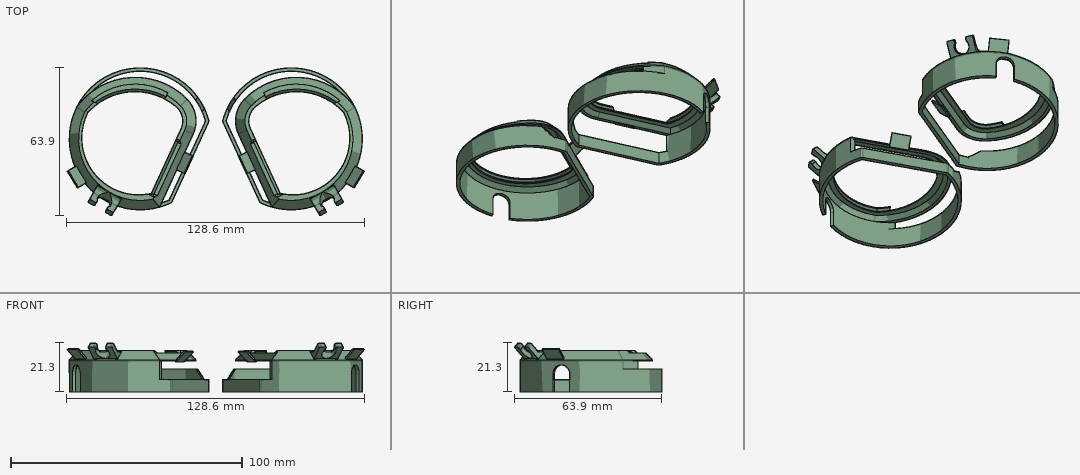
import cadquery as cq
import math

turn_angle = -24.7
body_offset = 32.7

wall_radius = 30.75
wall_thickness = 1.5
flat_distance = 23.9
flat_corner_radius = 1.5
rim_z = 13.5

ring_center_x = 0.0
ring_flat_distance = 20.0
ring_arc_peak_x = 0.0
ring_arc_peak_y = 26.2
ring_corner_radius = 13.5
arc_start_y = 1.0
lip_height = 0.55
bevel_height = 4.1
bevel_z = rim_z + lip_height
ring_top_z = bevel_z + bevel_height

opening_radius = 24.55
opening_center_x = -0.8
opening_flat_distance = 14.2
opening_arc_peak_x = 1.0
opening_arc_peak_y = 20.1
opening_corner_radius = 8.2

groove_depth = 1.2
groove_upper_height = 0.6

recess_depth = 1.15
recess_z = ring_top_z - recess_depth
flat_recess_start_y = -19.2
flat_recess_end_y = 6.5
flat_recess_inner_x = 10.0
back_recess_end_x = 2.5
back_recess_start_y = 6.2

opening_edge_height = 0.4
hollow_top_z = recess_z - groove_depth - opening_edge_height

back_wall_z = 10.1
flat_wall_z = 5.5
ramp_end_x = 19.6

slot_angle = 205.0 - turn_angle
slot_width = 8.0
slot_top_z = 11.8

tab_width = 8.5
tab_thickness = 0.75
tab_root_depth = 0.7
round_tab_angle = 211.0 - turn_angle
round_tab_reach = 34.3
round_tab_tip_z = 18.4
flat_tab_y = -1.4
flat_tab_reach = 24.0
flat_tab_tip_z = 17.4

clip_angle = 240.0 - turn_angle
clip_width = 11.9
clip_gap = 5.2
clip_bore_radius = 3.3
clip_reach = 35.1
clip_tip_z = 21.25
clip_tip_drop = 1.6
clip_straight_run = 3.2
clip_root_depth = 0.5
clip_tip_radius = 0.6

margin = 40.0


def disc_with_flat(radius, distance, corner_radius, height):
    disc = cq.Workplane("XY").circle(radius).extrude(height)
    keep = cq.Workplane("XY").box(2 * margin, 2 * margin, height, centered=(True, True, False))
    shape = disc.intersect(keep.translate((distance - margin, 0, 0)))
    if corner_radius > 0:
        shape = shape.edges("|Z and >X").fillet(corner_radius)
    return shape


def rounded_d(z, radius, center_x, flat_x, peak, corner_radius):
    peak_x, peak_y = peak
    start_x = center_x - math.sqrt(radius**2 - arc_start_y**2)
    half_span = peak_x - start_x
    rise = peak_y - arc_start_y
    arc_radius = (half_span**2 + rise**2) / (2 * rise)
    arc_y = peak_y - arc_radius
    corner_x = flat_x - corner_radius
    corner_dx = corner_x - peak_x
    corner_y = arc_y + math.sqrt((arc_radius - corner_radius) ** 2 - corner_dx**2)
    join_angle = math.atan2(corner_y - arc_y, corner_dx)
    join_x = corner_x + corner_radius * math.cos(join_angle)
    join_y = corner_y + corner_radius * math.sin(join_angle)
    corner_mid_x = corner_x + corner_radius * math.cos(join_angle / 2)
    corner_mid_y = corner_y + corner_radius * math.sin(join_angle / 2)
    flat_end_y = -math.sqrt(radius**2 - (flat_x - center_x) ** 2)
    diagonal = radius / math.sqrt(2)
    return (
        cq.Workplane("XY", origin=(0, 0, z))
        .moveTo(start_x, arc_start_y)
        .threePointArc(peak, (join_x, join_y))
        .threePointArc((corner_mid_x, corner_mid_y), (flat_x, corner_y))
        .lineTo(flat_x, flat_end_y)
        .threePointArc((center_x - diagonal, -diagonal), (start_x, arc_start_y))
        .close()
    )


def ring_outline(z):
    peak = (ring_arc_peak_x, ring_arc_peak_y)
    return rounded_d(z, wall_radius, ring_center_x, ring_flat_distance, peak, ring_corner_radius)


def opening_outline(z):
    peak = (opening_arc_peak_x, opening_arc_peak_y)
    return rounded_d(
        z, opening_radius, opening_center_x, opening_flat_distance, peak, opening_corner_radius
    )


def make_wall():
    outer = disc_with_flat(wall_radius, flat_distance, flat_corner_radius, rim_z)
    inner = disc_with_flat(wall_radius - wall_thickness, flat_distance - wall_thickness, 0, rim_z)
    ramp_start_x = ramp_end_x - (back_wall_z - flat_wall_z)
    lowered = (
        cq.Workplane("XZ", origin=(0, margin, 0))
        .moveTo(-margin, rim_z)
        .lineTo(-margin, back_wall_z)
        .lineTo(ramp_start_x, back_wall_z)
        .lineTo(ramp_end_x, flat_wall_z)
        .lineTo(margin, flat_wall_z)
        .lineTo(margin, rim_z)
        .close()
        .extrude(2 * margin)
    )
    return outer.cut(inner).cut(lowered.cut(ring_outline(0).extrude(rim_z)))


def slot_cutter():
    arch_radius = slot_width / 2
    straight = slot_top_z - arch_radius
    slot = (
        cq.Workplane("YZ")
        .moveTo(-arch_radius, 0)
        .lineTo(-arch_radius, straight)
        .threePointArc((0, slot_top_z), (arch_radius, straight))
        .lineTo(arch_radius, 0)
        .close()
        .extrude(margin)
    )
    return slot.rotate((0, 0, 0), (0, 0, 1), slot_angle)


def recess_cutter():
    flat_recess = (
        cq.Workplane("YZ", origin=(flat_recess_inner_x, 0, 0))
        .moveTo(flat_recess_start_y, recess_z)
        .lineTo(flat_recess_end_y - recess_depth, recess_z)
        .lineTo(flat_recess_end_y, ring_top_z)
        .lineTo(flat_recess_start_y - recess_depth, ring_top_z)
        .close()
        .extrude(margin)
    )
    back_recess = (
        cq.Workplane("XY", origin=(back_recess_end_x - margin, back_recess_start_y, recess_z))
        .box(margin, margin, recess_depth, centered=False)
    )
    return flat_recess.union(back_recess)


def groove_cutter():
    upper_taper = math.degrees(math.atan2(groove_depth, groove_upper_height))
    lower = opening_outline(recess_z).offset2D(groove_depth).extrude(-groove_depth, taper=45)
    upper = opening_outline(recess_z).offset2D(groove_depth).extrude(groove_upper_height, taper=upper_taper)
    return lower.union(upper)


def hollow_cutter():
    height = hollow_top_z - rim_z
    return ring_outline(rim_z).offset2D(-wall_thickness).extrude(height, taper=45)


def make_ring():
    lip = ring_outline(rim_z).extrude(lip_height)
    bevelled = ring_outline(bevel_z).extrude(bevel_height, taper=45)
    opening = opening_outline(rim_z).extrude(lip_height + bevel_height)
    ring = lip.union(bevelled).cut(opening)
    return ring.cut(groove_cutter()).cut(recess_cutter()).cut(hollow_cutter())


def make_tab(base_distance, reach, tip_z):
    step = tab_thickness / math.sqrt(2)
    root = (reach + tip_z - base_distance - bevel_z) / 2 + tab_root_depth
    return (
        cq.Workplane("XZ", origin=(0, tab_width / 2, 0))
        .moveTo(reach, tip_z)
        .lineTo(reach - step, tip_z + step)
        .lineTo(reach - step - root, tip_z + step - root)
        .lineTo(reach - root, tip_z - root)
        .close()
        .extrude(tab_width)
    )


def make_clip():
    bevel_sum = wall_radius + bevel_z
    tip_bottom_z = clip_tip_z - clip_tip_drop
    tip_top_x = clip_reach - clip_tip_drop
    under_x = (bevel_sum + clip_reach - tip_bottom_z) / 2
    bevel_top_x = bevel_sum - ring_top_z
    profile = (
        cq.Workplane("XZ", origin=(0, clip_width / 2, 0))
        .moveTo(under_x - clip_root_depth, bevel_sum - under_x - clip_root_depth)
        .lineTo(clip_reach, tip_bottom_z)
        .lineTo(tip_top_x, clip_tip_z)
        .lineTo(tip_top_x - clip_straight_run, clip_tip_z - clip_straight_run)
        .tangentArcPoint((bevel_top_x, ring_top_z), relative=False)
        .lineTo(bevel_top_x - clip_root_depth, ring_top_z - clip_root_depth)
        .close()
        .extrude(clip_width)
    )
    along_bevel = cq.Plane(origin=(wall_radius, 0, bevel_z), xDir=(0, 1, 0), normal=(1, 0, -1))
    bore = (
        cq.Workplane(along_bevel)
        .center(0, clip_bore_radius)
        .circle(clip_bore_radius)
        .extrude(margin, both=True)
    )
    mouth = (
        cq.Workplane(along_bevel)
        .center(0, clip_bore_radius + margin / 2)
        .rect(clip_gap, margin)
        .extrude(margin, both=True)
    )
    prongs = profile.cut(bore).cut(mouth)
    tip_faces = prongs.faces(cq.DirectionMinMaxSelector(cq.Vector(1, 0, 1)))
    tip_edges = tip_faces.edges("not |Y")
    return tip_edges.fillet(clip_tip_radius)


def make_body():
    round_tab = make_tab(wall_radius, round_tab_reach, round_tab_tip_z)
    round_tab = round_tab.rotate((0, 0, 0), (0, 0, 1), round_tab_angle)
    flat_tab = make_tab(ring_flat_distance, flat_tab_reach, flat_tab_tip_z).translate((0, flat_tab_y, 0))
    clip = make_clip().rotate((0, 0, 0), (0, 0, 1), clip_angle)
    wall = make_wall().cut(slot_cutter())
    body = wall.union(make_ring()).union(round_tab).union(flat_tab).union(clip)
    return body.rotate((0, 0, 0), (0, 0, 1), turn_angle).translate((-body_offset, 0, 0))


left_body = make_body()
right_body = left_body.mirror("YZ")

result = cq.Compound.makeCompound([*left_body.solids().vals(), *right_body.solids().vals()])